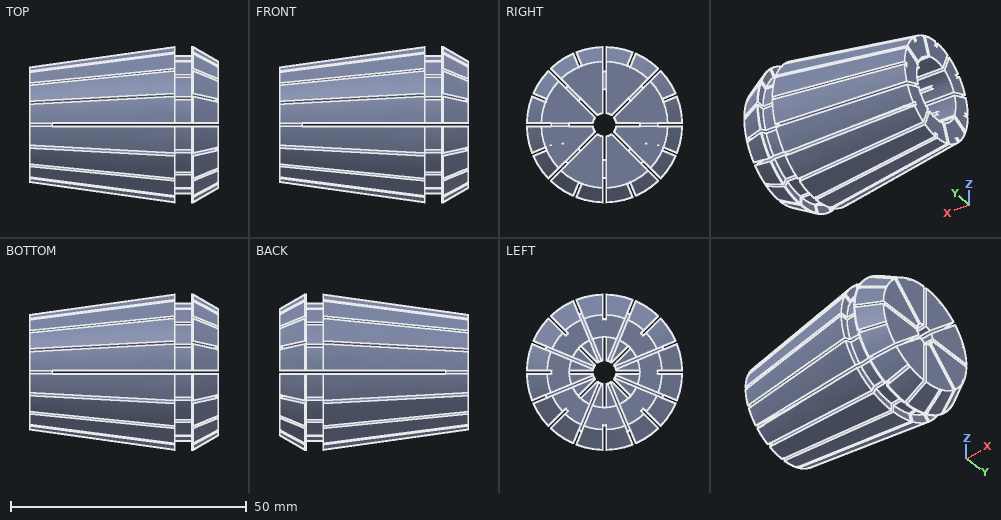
import cadquery as cq
import math

length = 40.0
max_diameter = 33.0
max_radius = max_diameter / 2

groove_start = 30.8
groove_width = 3.6
groove_end = groove_start + groove_width
groove_radius = 14.6
head_rim_width = 0.25
head_cone_start = groove_end + head_rim_width

body_taper = 8.0
head_taper = 30.0
narrow_end_radius = max_radius - groove_start * math.tan(math.radians(body_taper))
head_end_radius = max_radius - (length - head_cone_start) * math.tan(math.radians(head_taper))

relief_radius = 7.5
grip_radius = 2.5
grip_length = 16.0

slots_per_set = 8
slot_width = 0.7
saw_radius = 32.0
slot_pitch = 360.0 / slots_per_set

head_slot_exit = 11.3
head_slot_floor = 2.3
narrow_slot_exit = 13.55
narrow_slot_floor = -2.7


def make_body():
    """Revolve the outer and bore profile about the X axis."""
    grip_start = length - grip_length
    return (
        cq.Workplane("XY")
        .moveTo(0, relief_radius)
        .lineTo(0, narrow_end_radius)
        .lineTo(groove_start, max_radius)
        .lineTo(groove_start, groove_radius)
        .lineTo(groove_end, groove_radius)
        .lineTo(groove_end, max_radius)
        .lineTo(head_cone_start, max_radius)
        .lineTo(length, head_end_radius)
        .lineTo(length, grip_radius)
        .lineTo(grip_start, grip_radius)
        .lineTo(grip_start, relief_radius)
        .close()
        .revolve(360, (0, 0, 0), (1, 0, 0))
    )


def make_head_side_cutter(exit_radius, floor_radius):
    """Saw cut entering at X = length, its floor curving up to exit_radius at X = 0."""
    saw_center_r = floor_radius + saw_radius
    saw_center_x = math.sqrt(saw_radius**2 - (saw_center_r - exit_radius) ** 2)
    diagonal = saw_radius * math.sqrt(0.5)
    entry_x = length + saw_radius
    return (
        cq.Workplane("XY")
        .moveTo(saw_center_x, floor_radius)
        .threePointArc(
            (saw_center_x - diagonal, saw_center_r - diagonal),
            (saw_center_x - saw_radius, saw_center_r),
        )
        .lineTo(entry_x, saw_center_r)
        .lineTo(entry_x, floor_radius)
        .close()
        .extrude(slot_width / 2, both=True)
    )


def cut_slots(body, cutter, first_angle):
    """Cut one evenly spaced set of slots around the X axis."""
    for index in range(slots_per_set):
        angle = first_angle + index * slot_pitch
        body = body.cut(cutter.rotate((0, 0, 0), (1, 0, 0), angle))
    return body


head_side_cutter = make_head_side_cutter(head_slot_exit, head_slot_floor)

narrow_side_cutter = (
    make_head_side_cutter(narrow_slot_exit, narrow_slot_floor)
    .mirror("YZ")
    .translate((length, 0, 0))
)

result = make_body()
result = cut_slots(result, head_side_cutter, 0)
result = cut_slots(result, narrow_side_cutter, slot_pitch / 2)